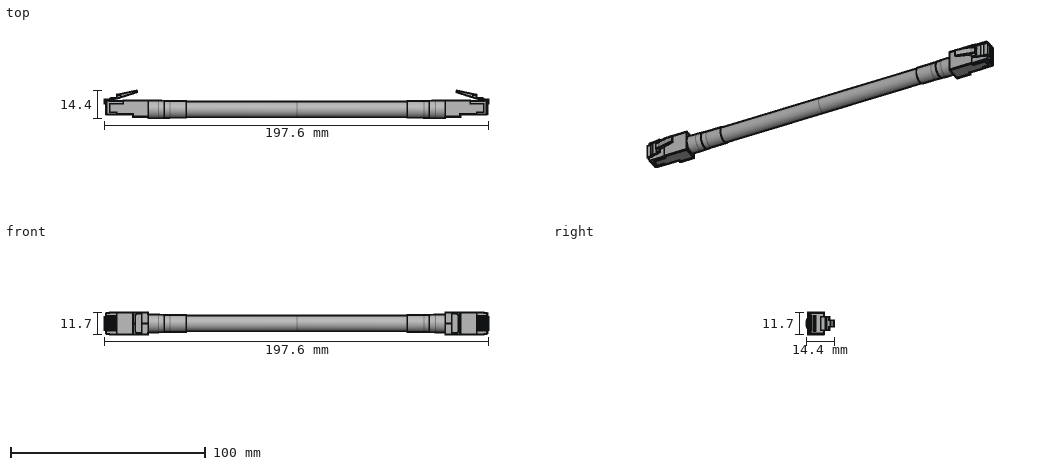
import cadquery as cq

total_length = 197.61

plug_width = 11.68
plug_top = 4.77
plug_bottom = -3.93
nose_bottom = -2.73
nose_start = 0.7
step_x = 14.5
plug_end = 22.5
nose_taper_length = 0.6
nose_taper_side = 0.3
nose_bottom_chamfer = 0.35

sheet = 0.4
shield_start = 2.6
shield_top_start = 9.6
shield_upper_edge = 2.9
shield_lower_edge = -1.33
shield_fold_chamfer = 0.4
seam_gap = 0.4
window_start = 15.7
window_end = 19.2
window_width = 9.8
window_corner = 0.7

contact_count = 8
contact_pitch = 1.02
slot_width = 0.55
slot_roof = -1.83
slot_end = 6.3
bore_diameter = 0.98
bore_center_y = -0.25
bore_depth = 2.0

latch_width = 7.1
lever_width = 3.4
latch_base_top = 5.25
latch_base_end = 2.2
web_bend_upper_x = 3.6
web_bend_lower_x = 4.0
web_top = 6.0
web_underside = 5.2
shoulder_x = 6.2
shoulder_end = 8.3
shoulder_top = 7.0
shoulder_bottom = 5.45
shoulder_top_rise = 0.4
shoulder_bottom_rise = 0.8
lever_top = 7.65
lever_bend_top = 8.0
lever_tip_slant = 0.3
lever_tip_height = 0.9
lever_tip_x = 16.9
overall_height = 14.41

cable_radius = 4.1
boot_radius = 4.65
sleeve_radius = 4.4
boot_straight_end = 27.7
boot_end = 30.7
cone_end = 33.6
sleeve_end = 42.0
latch_top = overall_height - boot_radius

core_width = plug_width - 2 * sheet
core_top = plug_top - sheet
core_bottom = plug_bottom + sheet


def prism(points, width):
    """Extrude an XY outline symmetrically about Z = 0."""
    return cq.Workplane("XY").polyline(points).close().extrude(width / 2, both=True)


def block(x0, x1, y0, y1, width):
    """Make a box between two X and two Y positions, centred on Z = 0."""
    return prism([(x0, y0), (x1, y0), (x1, y1), (x0, y1)], width)


def make_latch():
    base = prism(
        [
            (0, shield_upper_edge),
            (0, latch_base_top),
            (latch_base_end, latch_base_top),
            (web_bend_upper_x, web_top),
            (shoulder_x, web_top),
            (shoulder_x, shoulder_top),
            (shoulder_end, shoulder_top + shoulder_top_rise),
            (shoulder_end, shoulder_bottom + shoulder_bottom_rise),
            (shoulder_x, shoulder_bottom),
            (web_bend_lower_x, web_underside),
            (latch_base_end, core_top),
            (latch_base_end, shield_upper_edge),
        ],
        latch_width,
    )
    lever = prism(
        [
            (shoulder_x, shoulder_bottom),
            (shoulder_x, lever_top),
            (shoulder_end, lever_bend_top),
            (lever_tip_x - lever_tip_slant, latch_top),
            (lever_tip_x, latch_top - lever_tip_height),
        ],
        lever_width,
    )
    return base.union(lever)


def make_housing():
    body = prism(
        [
            (nose_start, nose_bottom + nose_bottom_chamfer),
            (nose_start, core_top),
            (plug_end, core_top),
            (plug_end, core_bottom),
            (step_x + sheet, core_bottom),
            (step_x + sheet, nose_bottom + sheet),
            (slot_end, nose_bottom + sheet),
            (slot_end, nose_bottom),
            (nose_start + nose_bottom_chamfer, nose_bottom),
        ],
        core_width,
    )
    half = core_width / 2
    taper = (
        cq.Workplane("XZ")
        .polyline(
            [
                (nose_start, half - nose_taper_side),
                (nose_start, half),
                (nose_start + nose_taper_length, half),
            ]
        )
        .close()
        .extrude(plug_width, both=True)
    )
    body = body.cut(taper).cut(taper.mirror("XY"))

    slot = block(0, slot_end, nose_bottom, slot_roof, slot_width)
    bore = (
        cq.Workplane("YZ", origin=(nose_start, bore_center_y, 0))
        .circle(bore_diameter / 2)
        .extrude(bore_depth)
    )
    for index in range(contact_count):
        z = (index - (contact_count - 1) / 2) * contact_pitch
        body = body.cut(slot.translate((0, 0, z))).cut(bore.translate((0, 0, z)))

    return body.union(make_latch())


def make_shield():
    envelope = prism(
        [
            (shield_start, shield_lower_edge),
            (shield_start, shield_upper_edge),
            (shield_top_start, shield_upper_edge),
            (shield_top_start, plug_top),
            (plug_end, plug_top),
            (plug_end, plug_bottom),
            (step_x, plug_bottom),
            (step_x, nose_bottom),
            (slot_end, nose_bottom),
            (slot_end, shield_lower_edge),
        ],
        plug_width,
    )
    folds = cq.selectors.BoxSelector(
        (shield_top_start, plug_top - sheet, -plug_width),
        (plug_end, plug_top + sheet, plug_width),
    ) + cq.selectors.BoxSelector(
        (slot_end, nose_bottom - sheet, -plug_width),
        (step_x - sheet, nose_bottom + sheet, plug_width),
    )
    envelope = envelope.edges("|X").edges(folds).chamfer(shield_fold_chamfer)

    core = block(0, plug_end, nose_bottom + sheet, core_top, core_width)
    rear_core = block(step_x + sheet, plug_end, core_bottom, core_top, core_width)
    shield = envelope.cut(core).cut(rear_core)

    seam = block(step_x, plug_end, plug_bottom, core_bottom, seam_gap)
    half = window_width / 2
    window = (
        cq.Workplane("XZ", origin=(0, core_bottom, 0))
        .polyline(
            [
                (window_start + window_corner, -half),
                (window_end, -half),
                (window_end, half),
                (window_start + window_corner, half),
                (window_start, half - window_corner),
                (window_start, -half + window_corner),
            ]
        )
        .close()
        .extrude(sheet)
    )
    return shield.cut(seam).cut(window)


def revolve_about_cable(points):
    """Revolve an (X, radius) outline around the cable axis."""
    outline = [(x, -radius) for x, radius in points]
    return cq.Workplane("XY").polyline(outline).close().revolve(360, (0, 0, 0), (1, 0, 0))


cone_slope = (sleeve_radius - boot_radius) / (cone_end - boot_straight_end)
split_radius = boot_radius + cone_slope * (boot_end - boot_straight_end)


def make_boot():
    return revolve_about_cable(
        [
            (plug_end, cable_radius),
            (plug_end, boot_radius),
            (boot_straight_end, boot_radius),
            (boot_end, split_radius),
            (boot_end, cable_radius),
        ]
    )


def make_sleeve():
    return revolve_about_cable(
        [
            (boot_end, cable_radius),
            (boot_end, split_radius),
            (cone_end, sleeve_radius),
            (sleeve_end, sleeve_radius),
            (sleeve_end, cable_radius),
        ]
    )


end_bodies = [make_housing(), make_shield(), make_boot(), make_sleeve()]

cable_length = total_length - 2 * plug_end
cable = cq.Workplane("YZ").circle(cable_radius).extrude(cable_length / 2, both=True)

bodies = cable.solids().vals()
for body in end_bodies:
    left = body.translate((-total_length / 2, 0, 0))
    bodies.extend(left.solids().vals())
    bodies.extend(left.mirror("YZ").solids().vals())

result = cq.Compound.makeCompound(bodies)